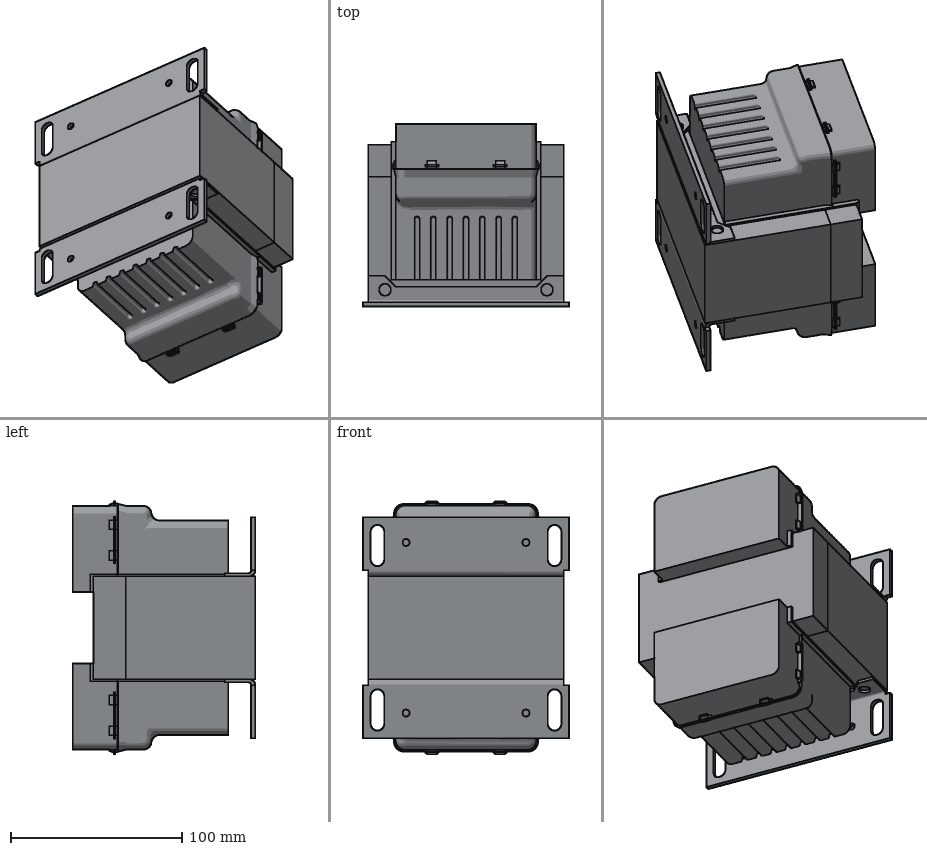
import cadquery as cq
import math


OVERALL_HEIGHT = 147.9

CORE_WIDTH = 114.5
CORE_HEIGHT = 60.3
CORE_SPLIT_Y = 75.9
CORE_REAR_Y = 94.8
CORE_TOP = CORE_HEIGHT / 2

PLATE_WIDTH = 120.7
PLATE_TOP = 64.6
PLATE_THICKNESS = 2.7
LEG_THICKNESS = 1.8
BEND_INNER_RADIUS = 1.5
BEND_OUTER_RADIUS = 3.4
LEG_SIDE_DEPTH = 18.0
LEG_MIDDLE_DEPTH = 11.7
NOTCH_BASE_WIDTH = 82.2
NOTCH_MOUTH_WIDTH = 95.0
SLOT_SPACING = 103.5
SLOT_CENTRE_Z = 48.0
SLOT_LENGTH = 24.0
SLOT_WIDTH = 7.8
PIN_HOLE_SPACING = 70.1
PIN_HOLE_Z = 49.8
PIN_HOLE_DIAMETER = 4.1
BOLT_HOLE_SPACING = 94.7
BOLT_HOLE_Y = 9.9
BOLT_HOLE_DIAMETER = 7.0

FLANGE_WIDTH = 87.5
FLANGE_THICKNESS = 1.2
FLANGE_REAR_THICKNESS = 1.8
FLANGE_TOP = CORE_TOP + FLANGE_THICKNESS
FLANGE_REAR_Y = CORE_REAR_Y + FLANGE_REAR_THICKNESS
HOOK_BOTTOM = 20.9

HOUSING_WIDTH = 82.0
HOUSING_TOP = 71.3
CORNER_RADIUS = 4.9
SEAM_Y = 80.8
BLOCK_REAR_Y = 107.0

COVER_FRONT_Y = 15.8
COVER_LOW_TOP = 62.7
STEP_START_Y = 65.7
LIP_REAR_Y = 80.3
LIP_FRONT_Y = 75.6
LIP_HEIGHT = 1.2

GROOVE_COUNT = 7
GROOVE_SPAN = 57.2
GROOVE_PITCH = GROOVE_SPAN / (GROOVE_COUNT - 1)
GROOVE_WIDTH = 3.0
GROOVE_DEPTH = 2.7
GROOVE_REAR_Y = 52.7
GROOVE_EDGE_RADIUS = 1.2
GROOVE_FLOOR_RADIUS = 1.2

BAR_FRONT_Y = 82.0
BAR_REAR_Y = 83.0
BAR_HEIGHT = OVERALL_HEIGHT / 2 - HOUSING_TOP
BAR_CHAMFER = 1.2
PAD_WIDTH = 5.3
PAD_HEIGHT = 1.6
PAD_REAR_HEIGHT = 0.7
PAD_REAR_Y = 85.3
CLIP_ROOT = 0.7
TOP_CLIP_LENGTH = 8.0
SIDE_CLIP_LENGTH = 27.2
TOP_CLIP_SPACING = 40.0
SIDE_PAD_SPACING = 17.9
SIDE_CLIP_Z = 51.2


def block(width, front, rear, bottom, top):
    """Box centred on X = 0."""
    box = cq.Workplane("XY").box(width, rear - front, top - bottom, centered=(True, False, False))
    return box.translate((0, front, bottom))


def mirrored_pair(upper):
    """The upper body and its mirror image under the core."""
    return [upper.val(), upper.mirror("XY").val()]


def make_bracket():
    """Angle bracket: mounting plate standing in front of the coil, bent over to a leg on the core."""
    profile = (
        cq.Workplane("YZ")
        .moveTo(0, PLATE_TOP)
        .lineTo(0, CORE_TOP)
        .lineTo(LEG_SIDE_DEPTH, CORE_TOP)
        .lineTo(LEG_SIDE_DEPTH, CORE_TOP + LEG_THICKNESS)
        .lineTo(PLATE_THICKNESS, CORE_TOP + LEG_THICKNESS)
        .lineTo(PLATE_THICKNESS, PLATE_TOP)
        .close()
    )
    bracket = profile.extrude(PLATE_WIDTH / 2, both=True)
    outer_corner = cq.selectors.NearestToPointSelector((0, 0, CORE_TOP))
    inner_corner = cq.selectors.NearestToPointSelector((0, PLATE_THICKNESS, CORE_TOP + LEG_THICKNESS))
    bracket = bracket.edges(outer_corner).fillet(BEND_OUTER_RADIUS)
    bracket = bracket.edges(inner_corner).fillet(BEND_INNER_RADIUS)

    bend_top = CORE_TOP + BEND_OUTER_RADIUS
    for side in (-1, 1):
        trim_width = (PLATE_WIDTH - CORE_WIDTH) / 2
        trim = block(trim_width, 0, LEG_SIDE_DEPTH, CORE_TOP, bend_top)
        bracket = bracket.cut(trim.translate((side * (CORE_WIDTH + trim_width) / 2, 0, 0)))

    notch = (
        cq.Workplane("XY")
        .workplane(offset=CORE_TOP)
        .moveTo(-NOTCH_BASE_WIDTH / 2, LEG_MIDDLE_DEPTH)
        .lineTo(NOTCH_BASE_WIDTH / 2, LEG_MIDDLE_DEPTH)
        .lineTo(NOTCH_MOUTH_WIDTH / 2, LEG_SIDE_DEPTH)
        .lineTo(-NOTCH_MOUTH_WIDTH / 2, LEG_SIDE_DEPTH)
        .close()
        .extrude(LEG_THICKNESS)
    )
    bolt_holes = (
        cq.Workplane("XY")
        .workplane(offset=CORE_TOP)
        .pushPoints([(side * BOLT_HOLE_SPACING / 2, BOLT_HOLE_Y) for side in (-1, 1)])
        .circle(BOLT_HOLE_DIAMETER / 2)
        .extrude(LEG_THICKNESS)
    )
    front_plane = cq.Workplane("XZ").workplane(offset=-PLATE_THICKNESS)
    slots = (
        front_plane.pushPoints([(side * SLOT_SPACING / 2, SLOT_CENTRE_Z) for side in (-1, 1)])
        .slot2D(SLOT_LENGTH, SLOT_WIDTH, 90)
        .extrude(PLATE_THICKNESS)
    )
    pin_holes = (
        front_plane.pushPoints([(side * PIN_HOLE_SPACING / 2, PIN_HOLE_Z) for side in (-1, 1)])
        .circle(PIN_HOLE_DIAMETER / 2)
        .extrude(PLATE_THICKNESS)
    )
    return bracket.cut(notch).cut(bolt_holes).cut(slots).cut(pin_holes)


def make_flange_sheet(front, rear):
    """Stretch of the thin sheet that lies on the core."""
    return block(FLANGE_WIDTH, front, rear, CORE_TOP, FLANGE_TOP)


def make_stepped_body():
    """Low front and high rear part of the cover, blended into each other all round the step."""
    low = block(HOUSING_WIDTH, COVER_FRONT_Y, SEAM_Y, FLANGE_TOP, COVER_LOW_TOP)
    low = low.edges("|Y and >Z").fillet(CORNER_RADIUS)
    step_front_y = STEP_START_Y - CORNER_RADIUS
    high = block(HOUSING_WIDTH, step_front_y, SEAM_Y, FLANGE_TOP, HOUSING_TOP)
    high = high.edges("(|Y and >Z) or (|Z and <Y) or (|X and >Z and <Y)").fillet(CORNER_RADIUS)
    foot_of_step = cq.selectors.NearestToPointSelector((0, step_front_y, COVER_LOW_TOP))
    return low.union(high).edges(foot_of_step).fillet(CORNER_RADIUS)


def make_lip():
    """Raised rim behind the step, tapering down to the cover surface towards the front."""
    length = LIP_REAR_Y - LIP_FRONT_Y
    rim_top = HOUSING_TOP + LIP_HEIGHT
    rim = block(HOUSING_WIDTH + 2 * LIP_HEIGHT, LIP_FRONT_Y, LIP_REAR_Y, 0, rim_top)
    rim = rim.edges("|Y and >Z").fillet(CORNER_RADIUS + LIP_HEIGHT)
    taper = math.degrees(math.atan2(LIP_HEIGHT, length))
    lip = rim.faces(">Y").wires().toPending().workplane().extrude(-length, taper=taper, combine=False)
    return lip.cut(block(PLATE_WIDTH, LIP_FRONT_Y, LIP_REAR_Y, -CORE_TOP, FLANGE_TOP))


def cut_grooves(cover):
    """Round-ended grooves open at the front, with a rounded floor and rounded upper edges."""
    floor_z = COVER_LOW_TOP - GROOVE_DEPTH
    half_width = GROOVE_WIDTH / 2
    groove = (
        cq.Workplane("XY")
        .workplane(offset=floor_z)
        .moveTo(-half_width, COVER_FRONT_Y - 2 * GROOVE_WIDTH)
        .lineTo(-half_width, GROOVE_REAR_Y - half_width)
        .threePointArc((0, GROOVE_REAR_Y), (half_width, GROOVE_REAR_Y - half_width))
        .lineTo(half_width, COVER_FRONT_Y - 2 * GROOVE_WIDTH)
        .close()
        .extrude(2 * GROOVE_DEPTH)
        .faces("<Z")
        .edges()
        .fillet(GROOVE_FLOOR_RADIUS)
    )
    for index in range(GROOVE_COUNT):
        x = (index - (GROOVE_COUNT - 1) / 2) * GROOVE_PITCH
        cover = cover.cut(groove.translate((x, 0, 0)))
    reach_x = HOUSING_WIDTH / 2 - CORNER_RADIUS - GROOVE_EDGE_RADIUS
    upper_edges = cq.selectors.BoxSelector(
        (-reach_x, COVER_FRONT_Y + GROOVE_EDGE_RADIUS, COVER_LOW_TOP - GROOVE_DEPTH / 4),
        (reach_x, GROOVE_REAR_Y + GROOVE_EDGE_RADIUS, COVER_LOW_TOP + GROOVE_DEPTH / 4),
    )
    return cover.edges(upper_edges).fillet(GROOVE_EDGE_RADIUS)


def make_cover():
    """Coil cover with its lip, its ventilation grooves and the front part of the flange sheet."""
    cover = cut_grooves(make_stepped_body())
    return cover.union(make_lip()).union(make_flange_sheet(COVER_FRONT_Y, SEAM_Y))


def make_clip(bar_length, pad_positions):
    """Bar along X with chamfered ends, crossing sloped pads; it stands on Z = 0 with a buried root."""
    clip = block(bar_length, BAR_FRONT_Y, BAR_REAR_Y, -CLIP_ROOT, BAR_HEIGHT)
    clip = clip.edges("|Y and >Z").chamfer(BAR_CHAMFER)
    pad = (
        cq.Workplane("YZ")
        .moveTo(SEAM_Y, -CLIP_ROOT)
        .lineTo(SEAM_Y, PAD_HEIGHT)
        .lineTo(BAR_REAR_Y, PAD_HEIGHT)
        .lineTo(PAD_REAR_Y, PAD_REAR_HEIGHT)
        .lineTo(PAD_REAR_Y, -CLIP_ROOT)
        .close()
        .extrude(PAD_WIDTH / 2, both=True)
    )
    for x in pad_positions:
        clip = clip.union(pad.translate((x, 0, 0)))
    return clip


def make_terminal_block():
    """Block hooked over the rear of the core, with its clips and the rear part of the flange."""
    housing = block(HOUSING_WIDTH, SEAM_Y, BLOCK_REAR_Y, HOOK_BOTTOM, HOUSING_TOP)
    housing = housing.edges("|Y and >Z").fillet(CORNER_RADIUS)
    housing = housing.cut(block(PLATE_WIDTH, SEAM_Y, FLANGE_REAR_Y, 0, FLANGE_TOP))
    flange_hook = block(FLANGE_WIDTH, CORE_REAR_Y, FLANGE_REAR_Y, HOOK_BOTTOM, FLANGE_TOP)
    housing = housing.union(make_flange_sheet(SEAM_Y, FLANGE_REAR_Y)).union(flange_hook)

    top_clip = make_clip(TOP_CLIP_LENGTH, [0])
    side_clip = make_clip(SIDE_CLIP_LENGTH, [-SIDE_PAD_SPACING / 2, SIDE_PAD_SPACING / 2])
    for side in (-1, 1):
        housing = housing.union(top_clip.translate((side * TOP_CLIP_SPACING / 2, 0, HOUSING_TOP)))
        upright_clip = side_clip.rotate((0, 0, 0), (0, 1, 0), side * 90)
        housing = housing.union(upright_clip.translate((side * HOUSING_WIDTH / 2, 0, SIDE_CLIP_Z)))
    return housing


main_core = block(CORE_WIDTH, 0, CORE_SPLIT_Y, -CORE_TOP, CORE_TOP)
rear_core = block(CORE_WIDTH, CORE_SPLIT_Y, CORE_REAR_Y, -CORE_TOP, CORE_TOP)
brackets = mirrored_pair(make_bracket())
covers = mirrored_pair(make_cover())
terminal_blocks = mirrored_pair(make_terminal_block())

result = cq.Compound.makeCompound([main_core.val(), rear_core.val(), *brackets, *covers, *terminal_blocks])